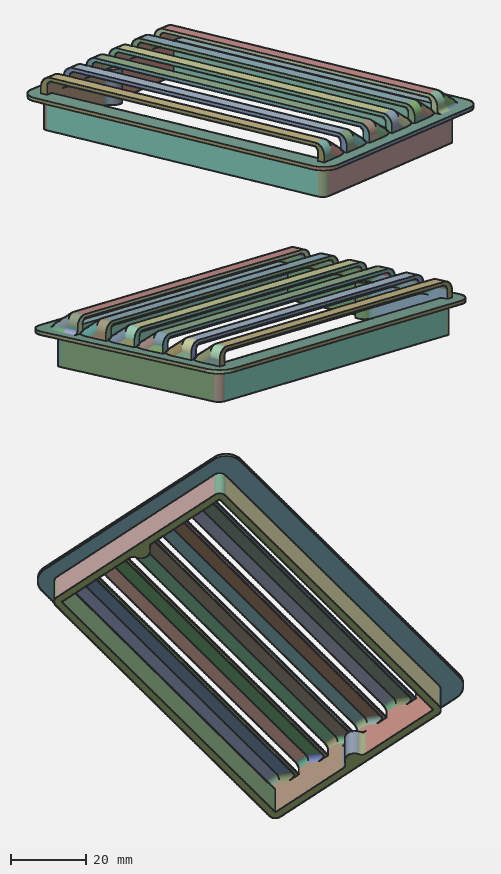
import cadquery as cq
import math

flange_length = 102.0
flange_width = 68.0
flange_thickness = 1.0
flange_corner_radius = 5.0
flange_top = 10.0

flange_margin = 4.0
duct_length = flange_length - 2 * flange_margin
duct_width = 58.0
duct_wall = 2.0
duct_corner_radius = 2.0
duct_front = -flange_width / 2 + flange_margin
duct_center = duct_front + duct_width / 2
inner_length = duct_length - 2 * duct_wall
inner_width = duct_width - 2 * duct_wall

louvre_count = 6
louvre_pitch = 10.0
louvre_depth = 9.6
louvre_roof_depth = 4.0
louvre_roof_wall = 1.0
louvre_slope = math.radians(33.7)
louvre_top = 15.0
louvre_end_radius = 3.1
cavity_end_radius = 1.5
cavity_rear_wall = 0.5
base_fillet_radius = 1.1
louvre_fronts = [duct_front + i * louvre_pitch for i in range(louvre_count)]

boss_radius = 2.5
boss_fillet_radius = 1.8

pick_margin = 0.01


def block(length, width, height, center_y):
    """Rectangular block centred on X, standing on the XY plane."""
    return cq.Workplane("XY").center(0, center_y).rect(length, width).extrude(height)


def hood(length, front, roof_depth, depth, top, end_radius):
    """Bar along X standing on the flange: flat roof, rear slope and rounded roof ends."""
    rear = front + depth
    rear_top = top - (depth - roof_depth) * math.tan(louvre_slope)
    outline = [
        (front, flange_top),
        (front, top),
        (front + roof_depth, top),
        (rear, rear_top),
        (rear, flange_top),
    ]
    bar = cq.Workplane("YZ").polyline(outline).close().extrude(length / 2, both=True)
    roof_and_slope = bar.faces(">Z or (not (|X or |Y or |Z))")
    return roof_and_slope.edges("not (|X or |Z)").fillet(end_radius)


def louvre(front):
    """Solid outer shape of one louvre."""
    return hood(duct_length, front, louvre_roof_depth, louvre_depth, louvre_top, louvre_end_radius)


def louvre_cavity(front):
    """Hollow of one louvre, leaving an even wall under the roof and the slope."""
    roof_depth = louvre_roof_depth - louvre_roof_wall * math.tan(louvre_slope / 2)
    depth = louvre_depth - cavity_rear_wall
    return hood(inner_length, front, roof_depth, depth, louvre_top - louvre_roof_wall, cavity_end_radius)


def fillet_base(flange, front, edges_behind):
    """Flange with one louvre, its base filleted along the edges centred behind the given Y."""
    joined = flange.union(louvre(front))
    half_length = duct_length / 2 + pick_margin
    rear = front + louvre_depth + pick_margin
    base = cq.selectors.BoxSelector(
        (-half_length, edges_behind, flange_top - pick_margin),
        (half_length, rear, flange_top + pick_margin),
    )
    return joined.edges(base).fillet(base_fillet_radius)


def duct_opening():
    """Inside of the duct, notched by the filleted bosses on its end walls."""
    end_wall = inner_length / 2
    bosses = (
        cq.Workplane("XY")
        .pushPoints([(-end_wall, duct_center), (end_wall, duct_center)])
        .circle(boss_radius)
        .extrude(flange_top)
    )
    boss_sides = cq.selectors.BoxSelector(
        (-duct_length / 2, duct_center - boss_radius - pick_margin, 0),
        (duct_length / 2, duct_center + boss_radius + pick_margin, flange_top),
    )
    opening = block(inner_length, inner_width, flange_top, duct_center).cut(bosses)
    return opening.edges("|Z").edges(boss_sides).fillet(boss_fillet_radius)


flange = block(flange_length, flange_width, flange_thickness, 0).edges("|Z").fillet(flange_corner_radius)
flange = flange.translate((0, 0, flange_top - flange_thickness))
duct = block(duct_length, duct_width, flange_top, duct_center).edges("|Z").fillet(duct_corner_radius)
body = flange.union(duct)

for front in louvre_fronts[:-1]:
    body = body.union(fillet_base(flange, front, front + louvre_depth - pick_margin))
rear_front = louvre_fronts[-1]
body = body.union(fillet_base(flange, rear_front, rear_front + pick_margin))

body = body.cut(duct_opening())
for front in louvre_fronts:
    body = body.cut(louvre_cavity(front))

result = body